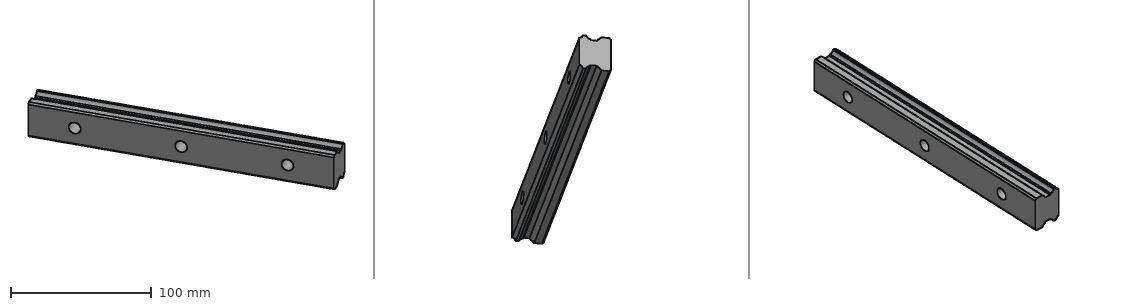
import cadquery as cq

length = 230.0
depth = 23.0
height = 28.0

front_chamfer = 1.4
front_land = 5.5
groove_depth = 3.5
groove_floor = 4.1
groove_step = 1.0
groove_arc_width = 2.8
groove_arc_bulge = 0.5
cove_width = 2.3
cove_height = 1.8
cove_bulge = 0.5
crest_bevel_width = 0.5
crest_bevel_height = 0.7

hole_diameter = 9.0
hole_pitch = 80.0
hole_count = 3

half_depth = depth / 2
half_height = height / 2

chamfer_end = -half_depth + front_chamfer
slope_start = chamfer_end + front_land
floor_start = slope_start + groove_depth
floor_end = floor_start + groove_floor
groove_arc_start = floor_end + groove_step
groove_end = groove_arc_start + groove_arc_width
cove_start = half_depth - cove_width
crest_end = cove_start - crest_bevel_width
floor_height = half_height - groove_depth
groove_arc_height = floor_height + groove_step
cove_top = half_height - crest_bevel_height


def concave_arc(outline, start, end, bulge):
    """Add an arc that dips to the right of the path from start to end."""
    run = end[0] - start[0]
    rise = end[1] - start[1]
    chord = (run**2 + rise**2) ** 0.5
    middle = (
        (start[0] + end[0]) / 2 + bulge * rise / chord,
        (start[1] + end[1]) / 2 - bulge * run / chord,
    )
    return outline.threePointArc(middle, end)


def upper_half():
    """Extrude the half of the rail above its middle plane."""
    outline = (
        cq.Workplane("YZ", origin=(-length / 2, 0, 0))
        .moveTo(-half_depth, 0)
        .lineTo(-half_depth, half_height - front_chamfer)
        .lineTo(chamfer_end, half_height)
        .lineTo(slope_start, half_height)
        .lineTo(floor_start, floor_height)
        .lineTo(floor_end, floor_height)
        .lineTo(groove_arc_start, groove_arc_height)
    )
    outline = concave_arc(
        outline,
        (groove_arc_start, groove_arc_height),
        (groove_end, half_height),
        groove_arc_bulge,
    )
    outline = outline.lineTo(crest_end, half_height).lineTo(cove_start, cove_top)
    outline = concave_arc(
        outline,
        (cove_start, cove_top),
        (half_depth, cove_top - cove_height),
        cove_bulge,
    )
    return outline.lineTo(half_depth, 0).close().extrude(length)


def mounting_holes():
    """Cylinders that pass through the rail from front to back."""
    return (
        cq.Workplane("XZ", origin=(0, half_depth, 0))
        .rarray(hole_pitch, 2.3, hole_count, 1)
        .circle(hole_diameter / 2)
        .extrude(depth)
    )


top = upper_half()
rail = top.union(top.mirror("XY")).clean()
result = rail.cut(mounting_holes())